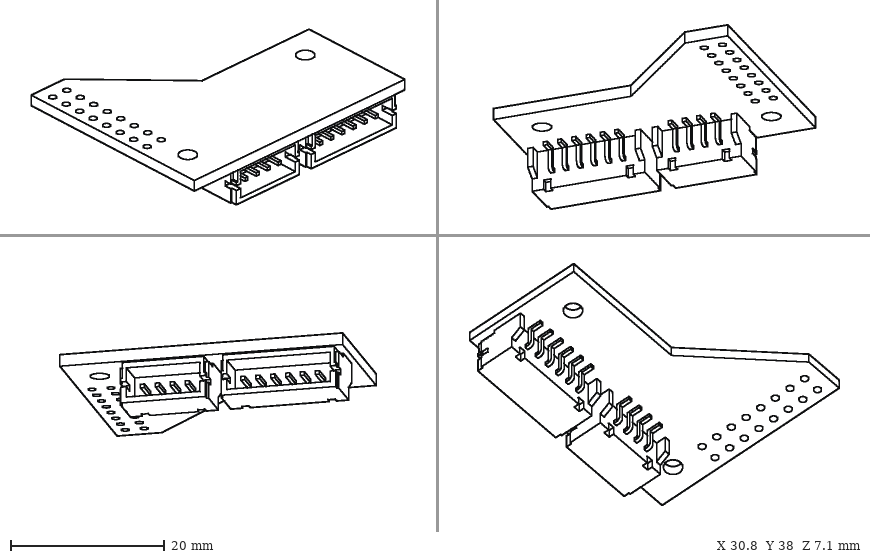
import cadquery as cq
import math

BOARD_WIDTH = 30.75
BOARD_LENGTH = 38.0
BOARD_THICKNESS = 1.6
CORNER_CUT_WIDTH = 12.7
LEFT_EDGE_LENGTH = 6.0

MOUNT_HOLE_DIAMETER = 2.5
MOUNT_HOLE_CENTRES = [(17.2, 33.0), (25.3, 4.03)]
PAD_HOLE_DIAMETER = 1.03
PAD_COLUMNS = 8
PAD_ROWS = 2
PAD_ROW_SPAN = 17.8
PAD_PITCH = PAD_ROW_SPAN / (PAD_COLUMNS - 1)
FIRST_PAD_X = 2.3
FIRST_PAD_Y = 1.67

PIN_COUNTS_AND_CENTRES = [(6, 29.25), (4, 13.75)]
PIN_PITCH = 10.0 / 5
END_MARGIN = 2.93
HOUSING_HEIGHT = 5.5
HOUSING_DEPTH = 7.6
FRONT_SETBACK = 0.5
FRONT_X = BOARD_WIDTH - FRONT_SETBACK
REAR_X = FRONT_X - HOUSING_DEPTH

WING_LENGTH = 1.52
WING_WIDTH = 0.75
WING_SLOPE_TOP = 2.7
WING_SLOPE_BOTTOM = 3.72
BACK_WALL_X = REAR_X + WING_LENGTH

LEAD_WIDTH = 0.55
LEAD_THICKNESS = 0.5
LEAD_BEND_RADIUS = 0.65
FOOT_TIP_X = REAR_X - 1.1
RISER_X = REAR_X + 0.5
PIN_BOTTOM = 3.35
PIN_TIP_X = FRONT_X - 0.9

CAVITY_DEPTH = 4.4
CAVITY_WALL = 0.75
CAVITY_END_WALL = 1.0

SLOT_TOP = 2.62
SLOT_BOTTOM = PIN_BOTTOM
SLOT_DEPTH = 1.9

STEP_LENGTH = 0.85
STEP_INSET = 0.23
SEAT_INSET = 2 * STEP_INSET
SEAT_HEIGHT = 2.13
FOOT_SEAT_LENGTH = 3.08
FOOT_SEAT_HEIGHT = LEAD_THICKNESS

NOTCH_WIDTH = 1.0
NOTCH_HEIGHT = 1.33
NOTCH_DEPTH = 0.75
NOTCH_END_DISTANCE = 2.13


def box_between(x_range, y_range, z_range):
    """Box filling the given ranges of X, Y and Z."""
    sizes = [high - low for low, high in (x_range, y_range, z_range)]
    corner = (x_range[0], y_range[0], z_range[0])
    return cq.Workplane("XY").box(*sizes, centered=False).translate(corner)


def make_board():
    outline = [
        (0, 0),
        (BOARD_WIDTH, 0),
        (BOARD_WIDTH, BOARD_LENGTH),
        (CORNER_CUT_WIDTH, BOARD_LENGTH),
        (CORNER_CUT_WIDTH, LEFT_EDGE_LENGTH + CORNER_CUT_WIDTH),
        (0, LEFT_EDGE_LENGTH),
    ]
    pad_centres = [
        (FIRST_PAD_X + column * PAD_PITCH, FIRST_PAD_Y + row * PAD_PITCH)
        for column in range(PAD_COLUMNS)
        for row in range(PAD_ROWS)
    ]
    board = cq.Workplane("XY").polyline(outline).close().extrude(BOARD_THICKNESS)
    mount_holes = (
        cq.Workplane("XY")
        .pushPoints(MOUNT_HOLE_CENTRES)
        .circle(MOUNT_HOLE_DIAMETER / 2)
        .extrude(BOARD_THICKNESS)
    )
    pad_holes = (
        cq.Workplane("XY")
        .pushPoints(pad_centres)
        .circle(PAD_HOLE_DIAMETER / 2)
        .extrude(BOARD_THICKNESS)
    )
    return board.cut(mount_holes).cut(pad_holes)


def make_housing_block(half_length):
    """Housing with sloped wings at both ends of the rear lead bay."""
    profile = [
        (REAR_X, 0),
        (FRONT_X, 0),
        (FRONT_X, -HOUSING_HEIGHT),
        (BACK_WALL_X, -HOUSING_HEIGHT),
        (BACK_WALL_X, -WING_SLOPE_BOTTOM),
        (REAR_X, -WING_SLOPE_TOP),
    ]
    block = cq.Workplane("XZ").polyline(profile).close().extrude(half_length, both=True)
    bay_half_length = half_length - WING_WIDTH
    lead_bay = box_between(
        (REAR_X, BACK_WALL_X), (-bay_half_length, bay_half_length), (-HOUSING_HEIGHT, 0)
    )
    return block.cut(lead_bay)


def cut_mating_side(housing, half_length):
    """Cut the mating cavity and the slots through both end walls."""
    cavity_half_length = half_length - CAVITY_END_WALL
    cavity = box_between(
        (FRONT_X - CAVITY_DEPTH, FRONT_X),
        (-cavity_half_length, cavity_half_length),
        (CAVITY_WALL - HOUSING_HEIGHT, -CAVITY_WALL),
    )
    end_slots = box_between(
        (FRONT_X - SLOT_DEPTH, FRONT_X), (-half_length, half_length), (-SLOT_BOTTOM, -SLOT_TOP)
    )
    return housing.cut(cavity).cut(end_slots)


def cut_end_recesses(housing, half_length):
    """Step both end faces inward at the front, deeper in an L-shaped seat next to the board."""
    step_x = (FRONT_X - STEP_LENGTH, FRONT_X)
    foot_x = (FRONT_X - FOOT_SEAT_LENGTH, FRONT_X)
    step_y = (half_length - STEP_INSET, half_length)
    seat_y = (half_length - SEAT_INSET, half_length)
    recess = (
        box_between(step_x, step_y, (-HOUSING_HEIGHT, 0))
        .union(box_between(step_x, seat_y, (-SEAT_HEIGHT, 0)))
        .union(box_between(foot_x, seat_y, (-FOOT_SEAT_HEIGHT, 0)))
    )
    return housing.cut(recess).cut(recess.mirror("XZ"))


def cut_notches(housing, half_length):
    """Cut the two notches in the lower edge of the back wall."""
    for side in (-1, 1):
        centre_y = side * (half_length - NOTCH_END_DISTANCE)
        notch = box_between(
            (BACK_WALL_X, BACK_WALL_X + NOTCH_DEPTH),
            (centre_y - NOTCH_WIDTH / 2, centre_y + NOTCH_WIDTH / 2),
            (-HOUSING_HEIGHT, NOTCH_HEIGHT - HOUSING_HEIGHT),
        )
        housing = housing.cut(notch)
    return housing


def make_lead():
    """One lead centred on Y = 0, bent from a flat strip."""
    inner_radius = LEAD_BEND_RADIUS - LEAD_THICKNESS
    bend_x = RISER_X + LEAD_BEND_RADIUS
    bend_z = LEAD_BEND_RADIUS - PIN_BOTTOM
    outer_mid = LEAD_BEND_RADIUS * math.sqrt(0.5)
    inner_mid = inner_radius * math.sqrt(0.5)
    return (
        cq.Workplane("XZ")
        .moveTo(FOOT_TIP_X, 0)
        .lineTo(FOOT_TIP_X, -LEAD_THICKNESS)
        .lineTo(RISER_X, -LEAD_THICKNESS)
        .lineTo(RISER_X, bend_z)
        .threePointArc((bend_x - outer_mid, bend_z - outer_mid), (bend_x, -PIN_BOTTOM))
        .lineTo(PIN_TIP_X, -PIN_BOTTOM)
        .lineTo(PIN_TIP_X, LEAD_THICKNESS - PIN_BOTTOM)
        .lineTo(bend_x, LEAD_THICKNESS - PIN_BOTTOM)
        .threePointArc(
            (bend_x - inner_mid, bend_z - inner_mid), (RISER_X + LEAD_THICKNESS, bend_z)
        )
        .lineTo(RISER_X + LEAD_THICKNESS, 0)
        .close()
        .extrude(LEAD_WIDTH / 2, both=True)
    )


def make_connector(pin_count, centre_y):
    pin_span = (pin_count - 1) * PIN_PITCH
    half_length = pin_span / 2 + END_MARGIN
    connector = make_housing_block(half_length)
    connector = cut_mating_side(connector, half_length)
    connector = cut_end_recesses(connector, half_length)
    connector = cut_notches(connector, half_length)
    lead = make_lead()
    for index in range(pin_count):
        lead_y = index * PIN_PITCH - pin_span / 2
        connector = connector.union(lead.translate((0, lead_y, 0)))
    return connector.translate((0, centre_y, 0))


board = make_board()
connectors = [make_connector(count, centre_y) for count, centre_y in PIN_COUNTS_AND_CENTRES]

result = cq.Compound.makeCompound([board.val(), *[connector.val() for connector in connectors]])